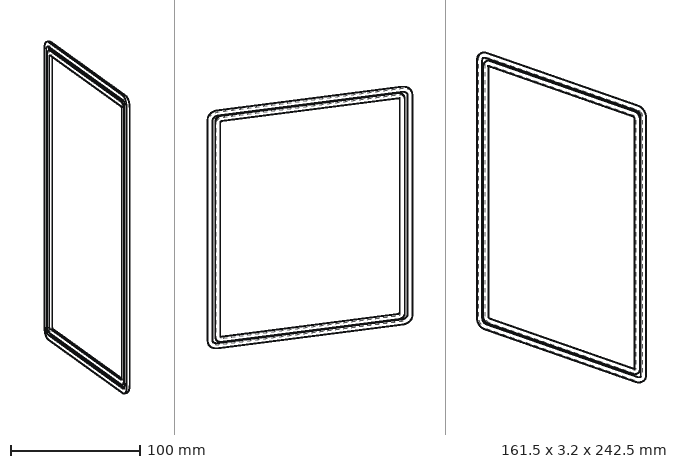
import cadquery as cq

LENGTH_X = 161.5
LENGTH_Z = 242.5
OUTER_CORNER_RADIUS = 8.0

STRIP_WIDTH = 3.9
STRIP_DEPTH = 3.2
ROUND_RADIUS = STRIP_WIDTH / 2
FLANK_DEPTH = STRIP_DEPTH - ROUND_RADIUS

RING_GAP = 2.2
RING_PITCH = STRIP_WIDTH + RING_GAP
INNER_CORNER_RADIUS = 5.0


def make_ring(length_x, length_z, corner_radius):
    """Sweep the D section around a rounded rectangle in the XZ plane, front face at Y = 0."""
    half_x = (length_x - STRIP_WIDTH) / 2
    half_z = (length_z - STRIP_WIDTH) / 2
    bend_radius = corner_radius - STRIP_WIDTH / 2
    straight_x = half_x - bend_radius
    straight_z = half_z - bend_radius

    path = (
        cq.Workplane("XZ")
        .moveTo(-half_x, 0)
        .lineTo(-half_x, straight_z)
        .radiusArc((-straight_x, half_z), bend_radius)
        .lineTo(straight_x, half_z)
        .radiusArc((half_x, straight_z), bend_radius)
        .lineTo(half_x, -straight_z)
        .radiusArc((straight_x, -half_z), bend_radius)
        .lineTo(-straight_x, -half_z)
        .radiusArc((-half_x, -straight_z), bend_radius)
        .close()
    )

    section = (
        cq.Workplane("XY", origin=(-half_x, 0, 0))
        .moveTo(-STRIP_WIDTH / 2, 0)
        .lineTo(STRIP_WIDTH / 2, 0)
        .lineTo(STRIP_WIDTH / 2, FLANK_DEPTH)
        .threePointArc((0, STRIP_DEPTH), (-STRIP_WIDTH / 2, FLANK_DEPTH))
        .close()
    )
    return section.sweep(path)


outer_ring = make_ring(LENGTH_X, LENGTH_Z, OUTER_CORNER_RADIUS)
inner_ring = make_ring(LENGTH_X - 2 * RING_PITCH, LENGTH_Z - 2 * RING_PITCH, INNER_CORNER_RADIUS)

result = cq.Compound.makeCompound([outer_ring.val(), inner_ring.val()])